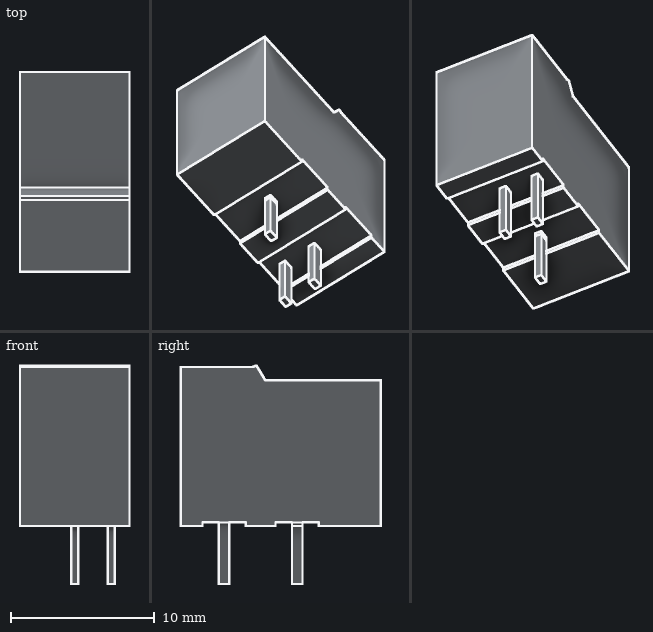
import cadquery as cq

width = 7.62
depth = 13.9
overall_height = 15.2
rear_height = 10.15
front_height = 11.07

ramp_foot_from_rear = 8.03
ridge_from_rear = 8.63
ridge_end_from_rear = 8.89

pin_length_below = 4.03
pin_width = 0.5
pin_depth = 0.75
pin_pitch = 2.54
row_pitch = 2 * pin_pitch
rear_row_y = 1.14
front_row_y = rear_row_y - row_pitch
groove_width = 3.0
groove_height = 0.27

ridge_height = overall_height - pin_length_below
rear_y = depth / 2
front_y = -depth / 2


def make_housing():
    """Stepped block with a sharp ridge on top and two grooves along X underneath."""
    profile = [
        (front_y, 0),
        (rear_y, 0),
        (rear_y, rear_height),
        (rear_y - ramp_foot_from_rear, rear_height),
        (rear_y - ridge_from_rear, ridge_height),
        (rear_y - ridge_end_from_rear, front_height),
        (front_y, front_height),
    ]
    body = cq.Workplane("YZ").polyline(profile).close().extrude(width / 2, both=True)
    for row_y in (front_row_y, rear_row_y):
        groove = cq.Workplane("XY").center(0, row_y).rect(width, groove_width).extrude(groove_height)
        body = body.cut(groove)
    return body


def make_post(x, y, bottom, top):
    """Rectangular post of the pin section, standing between two heights."""
    section = cq.Workplane("XY", origin=(x, y, bottom)).rect(pin_width, pin_depth)
    return section.extrude(top - bottom)


housing = make_housing()

front_pins = []
for pin_x in (0, pin_pitch):
    front_pins.append(make_post(pin_x, front_row_y, -pin_length_below, groove_height))

rear_pin = make_post(0, rear_row_y, -pin_length_below, 0)
rear_spacer = make_post(0, rear_row_y, 0, groove_height)

result = cq.Compound.makeCompound([
    housing.val(),
    *[pin.val() for pin in front_pins],
    rear_pin.val(),
    rear_spacer.val(),
])